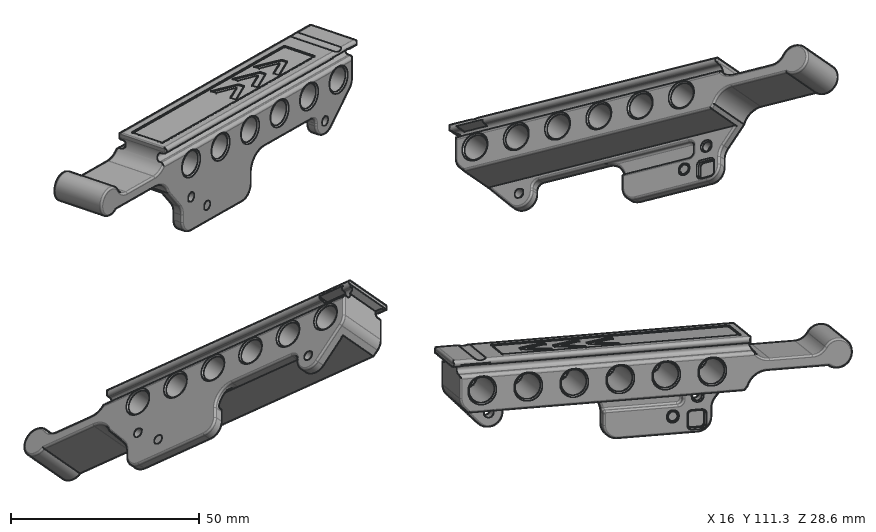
import cadquery as cq
import math

length = 111.3
width = 16.0
height = 28.6
half_width = width / 2
edge_round = 0.6
main_radius = 4.0
tolerance = 1.11e-06

tail_top = -6.3
tail_bottom = -9.7
ball_radius = 4.1
ball_y = ball_radius - length
ball_z = -6.5
ball_blend_radius = 4.1

beam_rear = -2.0
beam_bottom = -14.7
beam_front = -83.1
front_top_radius = 5.0
front_top_round = 0.3
knee_y = -82.2
knee_z = -13.6
front_arc_corner_y = -83.5

rail_thickness = 1.9
rail_round = rail_thickness / 2
rail_tip_round = 0.7
rail_tip_bottom = -1.7
rail_root = -2.6
cove_radius = 1.1
cove_depth = 2.7
shoulder_round = 1.0
shoulder_z = -rail_thickness - 2 * cove_radius

slit_rear = -2.5
slit_front = -10.5
slit_top = -1.2
slit_bottom = -2.2
groove_diameter = 6.0
groove_y = -7.9
groove_depth = 0.5

panel_width = 10.0
panel_rear = -14.9
panel_front = -80.9
panel_gap = 0.1
panel_thickness = 0.7
panel_top = -0.3
panel_bottom = panel_top - panel_thickness
arrow_count = 3
arrow_pitch = 9.3
arrow_tip_y = -21.4
arrow_inner_tip_y = -23.5
arrow_foot_y = -29.3
arrow_tip_half_width = 0.9
arrow_foot_outer = 4.2
arrow_foot_inner = 2.3
arrow_depth = 0.3

hole_count = 6
hole_pitch = 12.8
first_hole_y = -8.2
hole_z = -8.7
hole_diameter = 7.0
hole_rim = 0.5

plate_thickness = 3.2
plate_inner_x = half_width - plate_thickness
plate_underside = -15.9
plate_rear = -46.0
plate_front = -76.2
belly_radius = 5.6
throat_radius = 4.6
throat_z = -20.7
lug_y = -14.1
lug_fillet = 1.9
pivot_z = -18.6
pivot_diameter = 2.7
plate_hole_rim = 0.39
pivot_y = -72.2

recess_front = -68.1
recess_bottom = -20.6
recess_depth = 1.3
recess_corner = 1.5

pin_diameter = 2.7
pin_y = -65.3
pin_z = -23.7
pocket_size = 4.7
pocket_corner = 1.0
pocket_rim = 0.39
pocket_y = -72.0
pocket_z = -25.0
pocket_depth = 1.3


def rounded_outline(corners):
    """Closed YZ outline from (y, z, radius) corners, each rounded by a tangent arc."""
    outline = None
    last_end = None
    for index, (y, z, radius) in enumerate(corners):
        corner = cq.Vector(y, z, 0)
        before = (cq.Vector(*corners[index - 1][:2], 0) - corner).normalized()
        after = (cq.Vector(*corners[(index + 1) % len(corners)][:2], 0) - corner).normalized()
        half_angle = before.getAngle(after) / 2
        reach = radius / math.tan(half_angle)
        start = corner + before * reach
        end = corner + after * reach
        middle = corner + (before + after).normalized() * (radius / math.sin(half_angle) - radius)
        if outline is None:
            outline = cq.Workplane("YZ").moveTo(start.x, start.y)
        elif (start - last_end).Length > tolerance:
            outline = outline.lineTo(start.x, start.y)
        if radius > 0:
            outline = outline.threePointArc((middle.x, middle.y), (end.x, end.y))
        last_end = end
    return outline.close()


def extrude_across(outline, x_start, x_end):
    """Extrude a YZ outline along X between two positions."""
    return outline.extrude(x_end - x_start).translate((x_start, 0, 0))


def block(x_range, y_range, z_range):
    """Box between the given (low, high) limits."""
    sizes = [high - low for low, high in (x_range, y_range, z_range)]
    corner = (x_range[0], y_range[0], z_range[0])
    return cq.Workplane("XY").box(*sizes, centered=False).translate(corner)


def slope_z(y):
    """Height of the 45 degree rear slope, which is tangent to the lug."""
    return pivot_z + (y - lug_y) - main_radius * math.sqrt(2)


def side_profile():
    lug_front = lug_y - main_radius
    arc_reach = math.hypot(knee_y - front_arc_corner_y, knee_z - tail_bottom)
    arc_turn = math.atan2(tail_bottom - knee_z, knee_y - front_arc_corner_y)
    front_arc_radius = arc_reach / math.tan(arc_turn / 2)
    return rounded_outline([
        (0, 0, rail_tip_round),
        (0, rail_tip_bottom, 0),
        (beam_rear, rail_root, 0),
        (beam_rear, slope_z(beam_rear), main_radius),
        (lug_front, slope_z(lug_front), main_radius),
        (lug_front, plate_underside, lug_fillet),
        (plate_rear, plate_underside, belly_radius),
        (plate_rear, -height, main_radius),
        (plate_front, -height, main_radius),
        (plate_front, throat_z, throat_radius),
        (knee_y, knee_z, 0),
        (front_arc_corner_y, tail_bottom, front_arc_radius),
        (ball_y, tail_bottom, 0),
        (ball_y, tail_top, 0),
        (beam_front, tail_top, front_top_radius),
        (beam_front, 0, front_top_round),
    ])


def tail_ball():
    """Ball of the tail with the concave blend that joins it to the tail's top face."""
    ball = cq.Workplane("YZ").center(ball_y, ball_z).circle(ball_radius)
    blend_z = tail_top + ball_blend_radius
    rise = blend_z - ball_z
    reach = math.sqrt((ball_radius + ball_blend_radius) ** 2 - rise**2)
    blend_y = ball_y + reach
    touch_angle = math.atan2(-rise, -reach) + 2 * math.pi
    middle_angle = (touch_angle + 1.5 * math.pi) / 2
    middle_y = blend_y + ball_blend_radius * math.cos(middle_angle)
    middle_z = blend_z + ball_blend_radius * math.sin(middle_angle)
    touch_y = blend_y + ball_blend_radius * math.cos(touch_angle)
    touch_z = blend_z + ball_blend_radius * math.sin(touch_angle)
    blend = (
        cq.Workplane("YZ")
        .moveTo(ball_y, tail_bottom)
        .lineTo(blend_y, tail_bottom)
        .lineTo(blend_y, tail_top)
        .threePointArc((middle_y, middle_z), (touch_y, touch_z))
        .lineTo(ball_y, ball_z)
        .close()
    )
    return extrude_across(ball, -half_width, half_width).union(
        extrude_across(blend, -half_width, half_width)
    )


def slide_recess():
    floor_x = plate_inner_x + recess_depth
    rear = plate_rear + 2 * belly_radius
    x_range = (plate_inner_x - recess_depth, floor_x)
    return (
        block(x_range, (recess_front, rear), (recess_bottom, plate_underside))
        .edges("|X and <Y")
        .fillet(recess_corner)
        .faces(">X")
        .edges("not >Y")
        .fillet(edge_round)
    )


def side_cove():
    """Cutter that shapes the rail's side, the cove below it and the beam's shoulder on the -X side."""
    edge = -half_width
    cove_x = edge + cove_depth - cove_radius
    shoulder_x = edge + shoulder_round
    shoulder_bottom = shoulder_z - shoulder_round
    bulge = shoulder_round * math.sqrt(0.5)
    outside = edge - cove_depth
    section = (
        cq.Workplane("XZ")
        .moveTo(edge + rail_round, 0)
        .threePointArc((edge, -rail_round), (edge + rail_round, -rail_thickness))
        .lineTo(cove_x, -rail_thickness)
        .threePointArc((cove_x + cove_radius, -rail_thickness - cove_radius), (cove_x, shoulder_z))
        .lineTo(shoulder_x, shoulder_z)
        .threePointArc((shoulder_x - bulge, shoulder_bottom + bulge), (edge, shoulder_bottom))
        .lineTo(outside, shoulder_bottom)
        .lineTo(outside, 0)
        .close()
    )
    return section.extrude(front_top_radius - beam_front)


def tip_slit():
    slit_height = slit_top - slit_bottom
    outline = cq.Workplane("YZ").polyline([
        (slit_rear, slit_top),
        (slit_rear - slit_height, slit_bottom),
        (slit_front, slit_bottom),
        (slit_front, slit_top),
    ]).close()
    return extrude_across(outline, -half_width, half_width)


def tip_groove():
    groove_radius = groove_diameter / 2
    outline = cq.Workplane("YZ").center(groove_y, groove_radius - groove_depth).circle(groove_radius)
    return extrude_across(outline, -half_width, half_width)


def cross_cylinder(y, z, diameter, x_start, x_end):
    return extrude_across(cq.Workplane("YZ").center(y, z).circle(diameter / 2), x_start, x_end)


def rim_chamfer(y, z, diameter, rim, x, inward):
    """Cone that chamfers a hole's rim at X = x; inward is +1 or -1 along X, into the material."""
    rim_center = cq.Vector(x, y, z)
    direction = cq.Vector(inward, 0, 0)
    return cq.Workplane(cq.Solid.makeCone(diameter / 2 + rim, diameter / 2, rim, rim_center, direction))


def square_pocket():
    """Rounded square recess, flared at 45 degrees where it opens in the plate's inner face."""
    half_size = pocket_size / 2
    half_mouth = half_size + pocket_rim
    well = block(
        (plate_inner_x, plate_inner_x + pocket_depth),
        (pocket_y - half_size, pocket_y + half_size),
        (pocket_z - half_size, pocket_z + half_size),
    ).edges("|X").fillet(pocket_corner)
    mouth = block(
        (plate_inner_x - pocket_rim, plate_inner_x + pocket_rim),
        (pocket_y - half_mouth, pocket_y + half_mouth),
        (pocket_z - half_mouth, pocket_z + half_mouth),
    ).edges("|X").fillet(pocket_corner + pocket_rim).faces(">X").chamfer(pocket_rim - tolerance)
    return well.union(mouth)


def beam_holes():
    """Row of holes through the beam, chamfered on both sides."""
    holes = cq.Workplane("YZ")
    for index in range(hole_count):
        y = first_hole_y - index * hole_pitch
        hole = cross_cylinder(y, hole_z, hole_diameter, -half_width, half_width)
        hole = hole.union(rim_chamfer(y, hole_z, hole_diameter, hole_rim, -half_width, 1))
        hole = hole.union(rim_chamfer(y, hole_z, hole_diameter, hole_rim, half_width, -1))
        holes = holes.add(hole)
    return holes.combine()


def chamfered_plate_hole(y, z, diameter):
    hole = cross_cylinder(y, z, diameter, plate_inner_x, half_width)
    return hole.union(rim_chamfer(y, z, diameter, plate_hole_rim, plate_inner_x, 1))


def panel_block(gap, z_bottom, z_top):
    """Block of the panel's outline, grown by a gap all round."""
    half_panel = panel_width / 2 + gap
    y_range = (panel_front - gap, panel_rear + gap)
    return block((-half_panel, half_panel), y_range, (z_bottom, z_top))


def arrow(offset):
    """Arrow-shaped cutter pointing to the rear, moved forward by the offset."""
    outline = cq.Workplane("XY").polyline([
        (-arrow_tip_half_width, arrow_tip_y),
        (arrow_tip_half_width, arrow_tip_y),
        (arrow_foot_outer, arrow_foot_y),
        (arrow_foot_inner, arrow_foot_y),
        (0, arrow_inner_tip_y),
        (-arrow_foot_inner, arrow_foot_y),
        (-arrow_foot_outer, arrow_foot_y),
    ]).close()
    return outline.extrude(arrow_depth).translate((0, -offset, panel_top - arrow_depth))


def lever_blank():
    """Beam, tail and side plate with rounded outer edges, before the rail and holes are cut."""
    below_beam = block((-half_width, plate_inner_x), (-length, 0), (-height, beam_bottom))
    blank = extrude_across(side_profile(), -half_width, half_width).union(tail_ball())
    blank = blank.cut(below_beam).cut(slide_recess())
    blank = blank.faces("<X").edges().fillet(edge_round)
    blank = blank.faces(">X").edges().fillet(edge_round)
    plate_inner_face = cq.selectors.BoxSelector(
        (plate_inner_x - edge_round, -length, -height),
        (plate_inner_x + edge_round, 0, beam_bottom),
    )
    return blank.faces(plate_inner_face).edges("not >Z").fillet(edge_round)


def build_lever():
    lever = lever_blank()
    lever = lever.cut(side_cove()).cut(side_cove().mirror("YZ"))
    lever = lever.cut(tip_slit()).cut(tip_groove())
    lever = lever.cut(panel_block(panel_gap, panel_bottom, 0))
    lever = lever.cut(beam_holes())
    lever = lever.cut(cross_cylinder(lug_y, pivot_z, pivot_diameter, plate_inner_x, half_width))
    lever = lever.cut(chamfered_plate_hole(pivot_y, pivot_z, pivot_diameter))
    lever = lever.cut(chamfered_plate_hole(pin_y, pin_z, pin_diameter))
    return lever.cut(square_pocket())


def build_panel():
    panel = panel_block(0, panel_bottom, panel_top)
    for index in range(arrow_count):
        panel = panel.cut(arrow(index * arrow_pitch))
    return panel


def build_pin():
    return cross_cylinder(pin_y, pin_z, pin_diameter, plate_inner_x, half_width)


lever = build_lever()
panel = build_panel()
pin = build_pin()
result = cq.Compound.makeCompound([lever.val(), panel.val(), pin.val()])